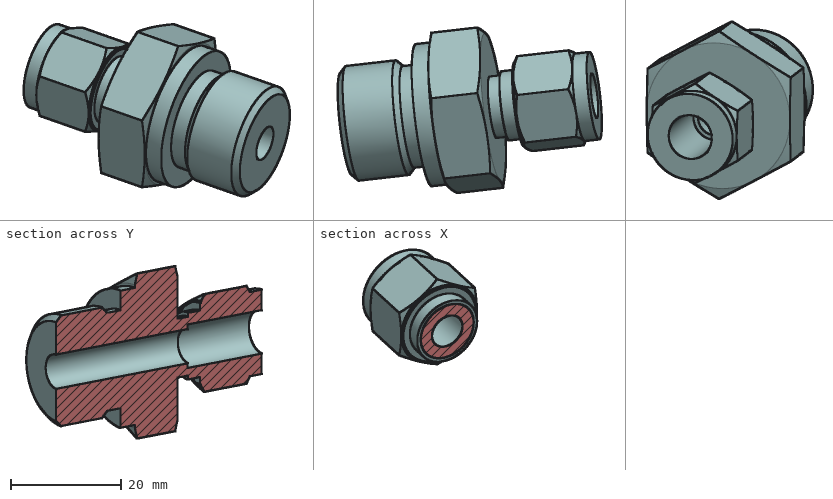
import cadquery as cq
import math

NUT_FLATS = 16.0
NUT_COLLAR_END = 2.65
NUT_HEX_END = 13.5
NUT_WASHER_END = 13.75
NUT_WASHER_DIA = 15.4
NUT_CHAMFER_ANGLE = 30

SHOULDER_DIA = 12.68
SHOULDER_END = 16.35
NECK_DIA = 11.2

BODY_FLATS = 27.0
BODY_HEX_START = 18.6
BODY_HEX_END = 28.2
BODY_CHAMFER_ANGLE = 15
FLANGE_DIA = 26.0
FLANGE_END = 31.35

THREAD_DIA = 20.98
RELIEF_DIA = 18.6
RELIEF_END = 34.2
THREAD_START = 35.35
THREAD_CHAMFER = 1.15
TOTAL_LENGTH = 45.6

BORE_DIA = 6.4
TUBE_SOCKET_DIA = 8.1
TUBE_SOCKET_DEPTH = SHOULDER_END


def cylinder(start, end, diameter):
    """Round section about X between two stations."""
    return cq.Workplane("YZ", origin=(start, 0, 0)).circle(diameter / 2).extrude(end - start)


def revolve_profile(points):
    """Solid of revolution about X from (station, radius) points."""
    return cq.Workplane("XY").polyline(points).close().revolve(360, (0, 0, 0), (1, 0, 0))


def chamfered_hexagon(start, end, flats, chamfer_angle):
    """Hexagon with corners up and down, its corners coned off at both ends."""
    corner_radius = flats / math.sqrt(3)
    face_radius = flats / 2
    chamfer = (corner_radius - face_radius) * math.tan(math.radians(chamfer_angle))
    corners = [
        (
            corner_radius * math.sin(math.radians(60 * i)),
            corner_radius * math.cos(math.radians(60 * i)),
        )
        for i in range(6)
    ]
    prism = cq.Workplane("YZ", origin=(start, 0, 0)).polyline(corners).close().extrude(end - start)
    envelope = revolve_profile([
        (start, 0),
        (start, face_radius),
        (start + chamfer, corner_radius),
        (end - chamfer, corner_radius),
        (end, face_radius),
        (end, 0),
    ])
    return prism.intersect(envelope)


def tube_nut():
    collar = cylinder(0, NUT_COLLAR_END, NUT_FLATS)
    hexagon = chamfered_hexagon(NUT_COLLAR_END, NUT_HEX_END, NUT_FLATS, NUT_CHAMFER_ANGLE)
    washer_face = cylinder(NUT_HEX_END, NUT_WASHER_END, NUT_WASHER_DIA)
    return collar.union(hexagon).union(washer_face)


def body():
    shoulder = cylinder(NUT_WASHER_END, SHOULDER_END, SHOULDER_DIA)
    neck = cylinder(SHOULDER_END, BODY_HEX_START, NECK_DIA)
    hexagon = chamfered_hexagon(BODY_HEX_START, BODY_HEX_END, BODY_FLATS, BODY_CHAMFER_ANGLE)
    flange = cylinder(BODY_HEX_END, FLANGE_END, FLANGE_DIA)
    return shoulder.union(neck).union(hexagon).union(flange)


def threaded_end():
    """Plain thread envelope with a relief groove behind it and a chamfered tip."""
    thread_radius = THREAD_DIA / 2
    relief_radius = RELIEF_DIA / 2
    return revolve_profile([
        (FLANGE_END, 0),
        (FLANGE_END, relief_radius),
        (RELIEF_END, relief_radius),
        (THREAD_START, thread_radius),
        (TOTAL_LENGTH - THREAD_CHAMFER, thread_radius),
        (TOTAL_LENGTH, thread_radius - THREAD_CHAMFER),
        (TOTAL_LENGTH, 0),
    ])


through_bore = cylinder(0, TOTAL_LENGTH, BORE_DIA)
tube_socket = cylinder(0, TUBE_SOCKET_DEPTH, TUBE_SOCKET_DIA)

result = tube_nut().union(body()).union(threaded_end()).cut(through_bore).cut(tube_socket)